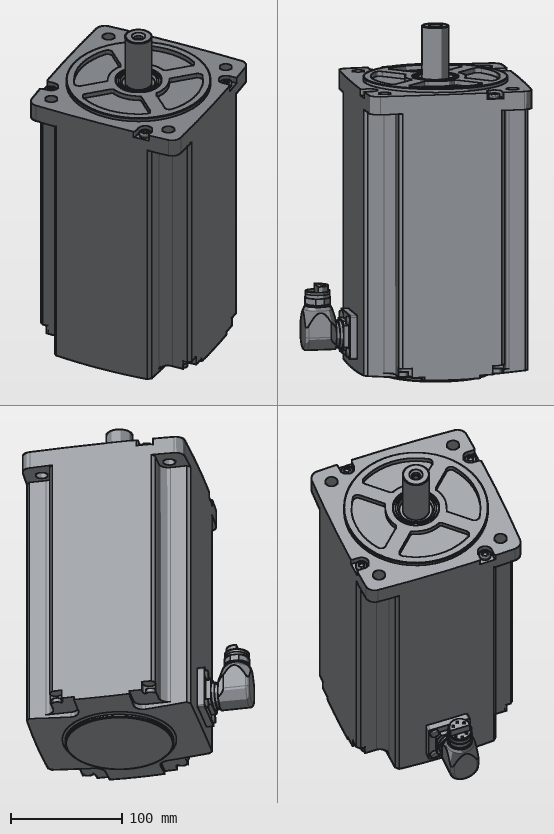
import cadquery as cq
import math


total_height = 316.5
flange_bottom = 250.5
flange_top = 266.8
pilot_top = 270.3

half_width = 76.0
half_corner = 74.0
flange_corner_radius = 9.0
clear = 6.3

recess_wall = 48.5
recess_radius = 9.0
recess_edge = 72.2

mount_hole_diameter = 11.0
mount_hole_offset = 58.5
pilot_radius = 65.0
pilot_chamfer = 0.5
window_outer_radius = 58.0
window_inner_radius = 27.5
spoke_width = 14.0
window_depth = 4.5
window_outer_fillet = 4.5
window_inner_fillet = 2.5

screw_along = 40.0
screw_out = 68.0
screw_pocket_radius = 6.5
screw_pocket_depth = 5.7
pocket_mouth_radius = 2.5
screw_head_diameter = 10.0
screw_head_height = 3.5
screw_head_fillet = 1.3
hex_flats = 5.0
hex_depth = 2.0

shaft_diameter = 24.0
shaft_chamfer = 0.5
center_sink_diameter = 12.0
center_bore_diameter = 8.0
center_bore_depth = 4.7
center_drill_diameter = 5.5
center_drill_depth = 15.8
drill_point_angle = 118.0
seal_outer_diameter = 42.0
seal_bevel_diameter = 40.5
seal_lip_outer = 18.5
seal_lip_inner = 16.5
seal_gap_radius = 15.0
seal_groove_depth = 1.0
seal_lip_depth = 0.3
seal_gap_depth = 3.2

rear_disc_radius = 48.7
rear_disc_height = 3.0
rear_disc_chamfer = 1.0
cone_start_radius = 51.3
cone_start_z = 4.0
cone_slope = 0.1
rear_step_z = 9.8
rear_step_y = 25.3
rear_pocket_top = 18.0
rear_pocket_radius = 6.3
rear_pocket_x = 72.0
rear_pocket_y = 43.0
rear_head_x = 64.5
rear_head_height = 4.0

connector_z = 38.3
connector_y = 108.0
base_size = 40.0
base_corner_radius = 1.5
base_top = 82.3
base_screw_offset = 14.5
base_screw_diameter = 8.0
base_screw_height = 2.2
base_screw_fillet = 0.5
collar_size = 26.5
collar_diameter = 33.0
collar_top = 86.7
nut_diameter = 25.0
nut_top = 89.5
neck_diameter = 21.8
elbow_y_min = 92.7
elbow_y_max = 121.5
elbow_half_width = 13.5
elbow_top = 62.5
elbow_corner = 3.0
elbow_taper_depth = 2.5
elbow_taper_length = 5.7
elbow_cone_radius = 13.0
elbow_cone_slope = 0.34
elbow_cap_top = 65.2
elbow_cap_radius = 11.5
groove_top = 66.8
groove_radius = 10.5
ring_top = 72.8
ring_diameter = 22.8
ring_flat_width = 7.5
sleeve_top = 78.5
sleeve_diameter = 21.8
insert_top = 83.5
insert_diameter = 19.0
socket_diameter = 20.3
socket_depth = 2.5
insert_face_y = 109.2
contact_count = 6
contact_diameter = 2.0
contact_circle_radius = 6.0
contact_depth = 3.2


def disc(diameter, z_from, z_to, x=0.0, y=0.0):
    """Upright cylinder between two heights."""
    return cq.Workplane("XY", origin=(x, y, z_from)).circle(diameter / 2).extrude(z_to - z_from)


def disc_along_y(diameter, y_from, y_to, x=0.0, z=connector_z):
    """Cylinder along +Y between two Y positions."""
    plane = cq.Workplane(cq.Plane(origin=(x, y_from, z), xDir=(1, 0, 0), normal=(0, 1, 0)))
    return plane.circle(diameter / 2).extrude(y_to - y_from)


def revolved(points, y=0.0):
    """Solid of revolution about the vertical line X = 0 at the given Y; points are (radius, Z)."""
    profile = cq.Workplane("XZ").polyline(points).close()
    return profile.revolve(360, (0, 0, 0), (0, 1, 0)).translate((0, y, 0))


def quarter_turns(shape):
    """Four copies of a shape, a quarter turn apart about the motor axis."""
    return [shape.rotate((0, 0, 0), (0, 0, 1), 90 * turn) for turn in range(4)]


def bulged_square(z_from, z_to):
    """Square block with slightly bulged sides."""
    return (
        cq.Workplane("XY", origin=(0, 0, z_from))
        .moveTo(half_corner, half_corner)
        .threePointArc((0, half_width), (-half_corner, half_corner))
        .threePointArc((-half_width, 0), (-half_corner, -half_corner))
        .threePointArc((0, -half_width), (half_corner, -half_corner))
        .threePointArc((half_width, 0), (half_corner, half_corner))
        .close()
        .extrude(z_to - z_from)
    )


def corner_recess():
    """Cutter for one lengthwise corner recess with bevelled mouth edges."""
    arc_end = recess_wall + recess_radius
    arc_middle = arc_end - recess_radius / math.sqrt(2)
    mouth_far = recess_edge + clear
    mouth_near = recess_wall - clear
    return (
        cq.Workplane("XY")
        .moveTo(mouth_near, mouth_far)
        .lineTo(recess_wall, recess_edge)
        .lineTo(recess_wall, arc_end)
        .threePointArc((arc_middle, arc_middle), (arc_end, recess_wall))
        .lineTo(recess_edge, recess_wall)
        .lineTo(mouth_far, mouth_near)
        .lineTo(mouth_far, mouth_far)
        .close()
        .extrude(flange_bottom)
    )


def rear_envelope():
    """Round shape that gives the rear its shallow cone and end disc."""
    reach = half_width * 2
    cone_end_z = cone_start_z + cone_slope * (reach - cone_start_radius)
    return revolved([
        (0, 0),
        (rear_disc_radius - rear_disc_chamfer, 0),
        (rear_disc_radius, rear_disc_chamfer),
        (rear_disc_radius, rear_disc_height),
        (cone_start_radius, cone_start_z),
        (reach, cone_end_z),
        (reach, flange_bottom),
        (0, flange_bottom),
    ])


def rear_corner_step(x_side, y_side):
    """Cutter that sets back one rear corner below the step height."""
    block = (
        cq.Workplane("XY")
        .box(half_width, half_width, rear_step_z, centered=False)
        .translate((recess_wall, rear_step_y, 0))
        .edges("|Z and <X and <Y").fillet(recess_radius)
    )
    if x_side < 0:
        block = block.mirror("YZ")
    if y_side < 0:
        block = block.mirror("XZ")
    return block


def rear_pocket(x, y):
    """Cutter for the pocket around one rear screw, open to the side and the rear."""
    outward = math.copysign(clear, x)
    height = rear_pocket_top - rear_step_z
    mouth = (
        cq.Workplane("XY", origin=(x + outward / 2, y, rear_step_z))
        .rect(clear, 2 * rear_pocket_radius)
        .extrude(height)
    )
    return disc(2 * rear_pocket_radius, rear_step_z, rear_pocket_top, x, y).union(mouth)


def rear_screw_head(x, y):
    """Head of one rear screw, standing on the level of the corner step."""
    return disc(screw_head_diameter, rear_step_z, rear_step_z + rear_head_height, x, y)


def make_main_body():
    """Long housing section with its corner recesses, rear cone and rear screw heads."""
    body = bulged_square(0, flange_bottom).intersect(rear_envelope())
    for recess in quarter_turns(corner_recess()):
        body = body.cut(recess)
    for x_side in (-1, 1):
        for y_side in (-1, 1):
            y = y_side * rear_pocket_y
            body = body.cut(rear_corner_step(x_side, y_side))
            body = body.cut(rear_pocket(x_side * rear_pocket_x, y))
            body = body.union(rear_screw_head(x_side * rear_head_x, y))
    return body


def screw_pocket():
    """Cutter for the pocket of the +Y flange screw, with a rounded mouth."""
    radius = screw_pocket_radius
    mouth = radius + pocket_mouth_radius
    flare = half_width - pocket_mouth_radius
    return (
        cq.Workplane("XY", origin=(-screw_along, 0, flange_top - screw_pocket_depth))
        .moveTo(radius, screw_out)
        .lineTo(radius, flare)
        .radiusArc((mouth, half_width), pocket_mouth_radius)
        .lineTo(mouth, half_width + clear)
        .lineTo(-mouth, half_width + clear)
        .lineTo(-mouth, half_width)
        .radiusArc((-radius, flare), pocket_mouth_radius)
        .lineTo(-radius, screw_out)
        .threePointArc((0, screw_out - radius), (radius, screw_out))
        .close()
        .extrude(screw_pocket_depth)
    )


def flange_screw():
    """Round-edged head of the +Y flange screw, with its hexagon socket."""
    floor = flange_top - screw_pocket_depth
    top = floor + screw_head_height
    hex_corners = hex_flats / math.cos(math.pi / 6)
    head = disc(screw_head_diameter, floor, top).faces(">Z").edges().fillet(screw_head_fillet)
    socket = cq.Workplane("XY", origin=(0, 0, top - hex_depth)).polygon(6, hex_corners).extrude(hex_depth)
    socket = socket.rotate((0, 0, 0), (0, 0, 1), 30)
    return head.cut(socket).translate((-screw_along, screw_out, 0))


def pilot_window():
    """Cutter for the +Y window between two diagonal spokes of the pilot."""
    floor = pilot_top - window_depth
    ring = disc(2 * window_outer_radius, floor, pilot_top)
    ring = ring.cut(disc(2 * window_inner_radius, floor, pilot_top))
    apex = spoke_width / math.sqrt(2)
    reach = 2 * window_outer_radius
    wedge = (
        cq.Workplane("XY", origin=(0, 0, floor))
        .polyline([(0, apex), (reach, apex + reach), (-reach, apex + reach)])
        .close()
        .extrude(window_depth)
    )
    split = (window_inner_radius + window_outer_radius) / 2 - spoke_width / 2
    far = cq.selectors.BoxSelector((-reach, split, 0), (reach, reach, total_height))
    near = cq.selectors.BoxSelector((-reach, 0, 0), (reach, split, total_height))
    window = ring.intersect(wedge)
    window = window.edges("|Z").edges(far).fillet(window_outer_fillet)
    return window.edges("|Z").edges(near).fillet(window_inner_fillet)


def seal_recess():
    """Cutter for the stepped seal ring around the shaft."""
    groove_z = pilot_top - seal_groove_depth
    lip_z = pilot_top - seal_lip_depth
    gap_z = pilot_top - seal_gap_depth
    return revolved([
        (0, pilot_top),
        (seal_outer_diameter / 2, pilot_top),
        (seal_bevel_diameter / 2, groove_z),
        (seal_lip_outer, groove_z),
        (seal_lip_outer, lip_z),
        (seal_lip_inner, lip_z),
        (seal_gap_radius, gap_z),
        (0, gap_z),
    ])


def make_flange():
    """Front flange with pilot, windows, seal, mounting holes and screws."""
    flange = bulged_square(flange_bottom, flange_top).edges("|Z").fillet(flange_corner_radius)
    pilot = disc(2 * pilot_radius, flange_top, pilot_top).faces(">Z").edges().chamfer(pilot_chamfer)
    flange = flange.union(pilot).cut(seal_recess())
    hole = disc(mount_hole_diameter, flange_bottom, flange_top, mount_hole_offset, mount_hole_offset)
    for cutter in (pilot_window(), hole, screw_pocket()):
        for copy in quarter_turns(cutter):
            flange = flange.cut(copy)
    for screw in quarter_turns(flange_screw()):
        flange = flange.union(screw)
    return flange


def make_connector_base():
    """Square base on the housing, its four screws, the collar, nut and round neck."""
    base = (
        cq.Workplane("XY")
        .box(base_size, base_top - recess_wall, base_size)
        .edges("|Y").fillet(base_corner_radius)
        .translate((0, (base_top + recess_wall) / 2, connector_z))
    )
    collar_limits = (
        cq.Workplane("XY")
        .box(collar_size, collar_top - base_top, collar_size)
        .translate((0, (collar_top + base_top) / 2, connector_z))
    )
    base = base.union(disc_along_y(collar_diameter, base_top, collar_top).intersect(collar_limits))
    base = base.union(disc_along_y(nut_diameter, collar_top, nut_top))
    base = base.union(disc_along_y(neck_diameter, nut_top, connector_y))
    for x in (-base_screw_offset, base_screw_offset):
        for rise in (-base_screw_offset, base_screw_offset):
            head_top = base_top + base_screw_height
            head = disc_along_y(base_screw_diameter, base_top, head_top, x, connector_z + rise)
            base = base.union(head.faces(">Y").edges().fillet(base_screw_fillet))
    return base


def make_elbow():
    """Elbow block: half-round below, tapering to a round cap above."""
    length = elbow_y_max - elbow_y_min
    middle_y = (elbow_y_max + elbow_y_min) / 2
    height = elbow_top - connector_z
    block = (
        cq.Workplane("XY")
        .box(2 * elbow_half_width, length, height)
        .translate((0, middle_y, connector_z + height / 2))
        .union(disc_along_y(2 * elbow_half_width, elbow_y_min, elbow_y_max))
    )
    block = block.faces(">Y").edges("not >Z").fillet(elbow_corner)
    taper_half_width = elbow_half_width - elbow_taper_depth
    tapered = (
        cq.Workplane("XY")
        .polyline([
            (-taper_half_width, elbow_y_min),
            (taper_half_width, elbow_y_min),
            (elbow_half_width, elbow_y_min + elbow_taper_length),
            (elbow_half_width, elbow_y_max),
            (-elbow_half_width, elbow_y_max),
            (-elbow_half_width, elbow_y_min + elbow_taper_length),
        ])
        .close()
        .extrude(elbow_top)
    )
    block = block.intersect(tapered)
    cone_drop = elbow_top - connector_z + elbow_half_width
    cone = revolved([
        (0, elbow_top - cone_drop),
        (elbow_cone_radius + elbow_cone_slope * cone_drop, elbow_top - cone_drop),
        (elbow_cone_radius, elbow_top),
        (0, elbow_top),
    ], y=connector_y)
    cap = revolved([
        (0, elbow_top),
        (elbow_cone_radius, elbow_top),
        (elbow_cap_radius, elbow_cap_top),
        (0, elbow_cap_top),
    ], y=connector_y)
    return block.intersect(cone).union(cap)


def make_plug():
    """Upright round plug: grooved neck, flatted ring, sleeve and half-round insert."""
    neck = disc(2 * groove_radius, elbow_cap_top, groove_top, y=connector_y)
    flat_distance = math.sqrt(ring_diameter ** 2 - ring_flat_width ** 2)
    ring = disc(ring_diameter, groove_top, ring_top, y=connector_y)
    ring_limits = cq.Workplane("XY", origin=(0, connector_y, groove_top)).rect(flat_distance, ring_diameter)
    ring = ring.intersect(ring_limits.extrude(ring_top - groove_top))
    sleeve = disc(sleeve_diameter, ring_top, sleeve_top, y=connector_y)
    socket_floor = sleeve_top - socket_depth
    sleeve = sleeve.cut(disc(socket_diameter, socket_floor, sleeve_top, y=connector_y))
    insert = disc(insert_diameter, socket_floor, insert_top, y=connector_y)
    insert = insert.cut(
        cq.Workplane("XY", origin=(0, insert_face_y + insert_diameter / 2, socket_floor))
        .rect(2 * insert_diameter, insert_diameter)
        .extrude(insert_top - socket_floor)
    )
    plug = neck.union(ring).union(sleeve).union(insert)
    for index in range(contact_count):
        angle = math.radians(90 + 360 * index / contact_count)
        x = contact_circle_radius * math.cos(angle)
        y = connector_y + contact_circle_radius * math.sin(angle)
        plug = plug.cut(disc(contact_diameter, socket_floor - contact_depth, insert_top, x, y))
    return plug


def make_housing():
    """Stationary body: main section, flange and connector, bored for the shaft."""
    housing = make_main_body().union(make_flange())
    housing = housing.union(make_connector_base()).union(make_elbow()).union(make_plug())
    return housing.cut(disc(shaft_diameter, flange_bottom, pilot_top)).solids()


def make_shaft():
    """Shaft with a chamfered end and a countersunk, drill-pointed center hole."""
    shaft = disc(shaft_diameter, flange_bottom, total_height).faces(">Z").edges().chamfer(shaft_chamfer)
    sink_radius = center_sink_diameter / 2
    bore_radius = center_bore_diameter / 2
    drill_radius = center_drill_diameter / 2
    point_length = drill_radius / math.tan(math.radians(drill_point_angle / 2))
    sink_depth = sink_radius - bore_radius
    center_hole = revolved([
        (0, total_height),
        (sink_radius, total_height),
        (bore_radius, total_height - sink_depth),
        (bore_radius, total_height - center_bore_depth),
        (drill_radius, total_height - center_bore_depth),
        (drill_radius, total_height - center_drill_depth),
        (0, total_height - center_drill_depth - point_length),
    ])
    return shaft.cut(center_hole).solids()


housing = make_housing()
shaft = make_shaft()
result = cq.Compound.makeCompound([housing.val(), shaft.val()])